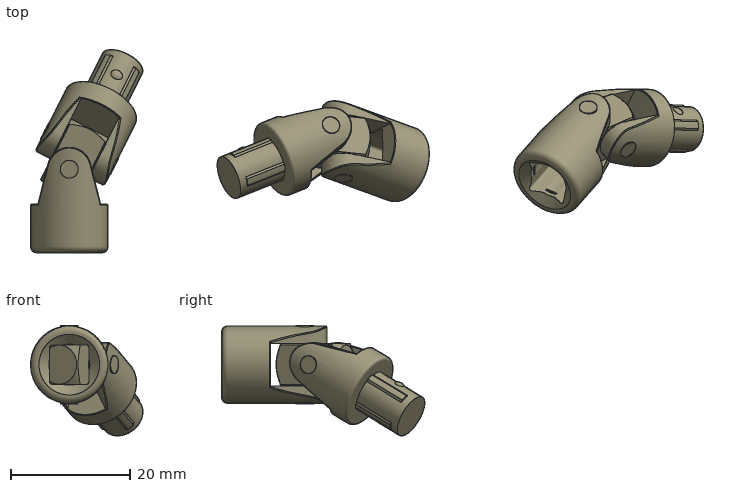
import cadquery as cq
import math


JOINT_YAW = 26.65
JOINT_PITCH = 28.4

FORK_DIAMETER = 12.95
ARM_TIP_RADIUS = 3.68
ARM_TAPER = 14
SLOT_WIDTH = 7.08
SLOT_DEPTH = 5.82
EDGE_CHAMFER = 0.15
PIN_DIAMETER = 3.0

BLOCK_WIDTH = 7.0
BLOCK_EDGE_CHAMFER = 0.2
BLOCK_END_DIAMETER = 6.57
BLOCK_END_SLOPE = 30
PIN_SPACING = 3.85
BLOCK_OVERHANG = 3.8
PIN_LENGTH = 13.15

SOCKET_LENGTH = 14.0
SOCKET_MOUTH_ROUND = 1.02
SQUARE_HOLE = 6.57
SQUARE_HOLE_ROUND = 0.45
MOUTH_CONE_DIAMETER = 10.15
MOUTH_CONE_DEPTH = 1.23
RELIEF_DIAMETER = 6.87
LAND_START = 1.95
LAND_END = 2.2

DRIVER_LENGTH = 9.5
DRIVER_BACK_ROUND = 0.5
DRIVE_TIP = 18.17
DRIVE_DIAMETER = 7.5
DRIVE_SQUARE = 6.4
DRIVE_CORNER_DIAMETER = 7.95
DRIVE_SQUARE_SETBACK = 1.33
BALL_DIAMETER = 2.93
BALL_SETBACK = 4.42
BALL_HEIGHT = 2.55


def y_cylinder(diameter, start, end):
    """A cylinder on the Y axis between two Y positions, with its seam on the +Z side."""
    end_plane = cq.Plane(origin=(0, end, 0), xDir=(0, 0, 1), normal=(0, -1, 0))
    return cq.Workplane(end_plane).circle(diameter / 2).extrude(end - start)


def arm_outline():
    """The prism along Z that shapes the fork arms: round tip, tapered sides, full-width base."""
    taper = math.radians(ARM_TAPER)
    tangent_x = ARM_TIP_RADIUS * math.cos(taper)
    tangent_y = ARM_TIP_RADIUS * math.sin(taper)
    root_x = tangent_x + (tangent_y + SLOT_DEPTH) * math.tan(taper)
    base_y = -2 * SOCKET_LENGTH
    return (
        cq.Workplane("XY")
        .moveTo(tangent_x, tangent_y)
        .threePointArc((0, ARM_TIP_RADIUS), (-tangent_x, tangent_y))
        .lineTo(-root_x, -SLOT_DEPTH)
        .lineTo(-FORK_DIAMETER, -SLOT_DEPTH)
        .lineTo(-FORK_DIAMETER, base_y)
        .lineTo(FORK_DIAMETER, base_y)
        .lineTo(FORK_DIAMETER, -SLOT_DEPTH)
        .lineTo(root_x, -SLOT_DEPTH)
        .close()
        .extrude(FORK_DIAMETER, both=True)
    )


def zone_across(start_y, end_y):
    """Selects what is centred between two Y positions, at any X and Z within the fork."""
    return cq.selectors.BoxSelector(
        (-FORK_DIAMETER, start_y, -FORK_DIAMETER),
        (FORK_DIAMETER, end_y, FORK_DIAMETER),
    )


def make_fork(length, back_round):
    """A fork with its pin hole along Z at the origin, its arms toward +Y and its back at -length."""
    fork = y_cylinder(FORK_DIAMETER, -length, ARM_TIP_RADIUS)
    fork = fork.faces("<Y").edges().fillet(back_round)
    fork = fork.intersect(arm_outline())

    shoulder_edges = zone_across(-SLOT_DEPTH - EDGE_CHAMFER, -SLOT_DEPTH + EDGE_CHAMFER)
    arm_edges = zone_across(-SLOT_DEPTH + EDGE_CHAMFER, ARM_TIP_RADIUS)
    for zone in (shoulder_edges, arm_edges):
        fork = fork.edges(zone).edges("not |Z").chamfer(EDGE_CHAMFER)

    slot_length = SLOT_DEPTH + 2 * ARM_TIP_RADIUS
    slot = (
        cq.Workplane("XY")
        .box(2 * FORK_DIAMETER, slot_length, SLOT_WIDTH, centered=(True, False, True))
        .translate((0, -SLOT_DEPTH, 0))
    )
    pin_hole = cq.Workplane("XY").circle(PIN_DIAMETER / 2).extrude(FORK_DIAMETER, both=True)
    return fork.cut(slot).cut(pin_hole)


def make_socket_fork():
    """The fork with a square hole from its conical mouth through to the slot."""
    mouth_y = -SOCKET_LENGTH
    fork = make_fork(SOCKET_LENGTH, SOCKET_MOUTH_ROUND)
    square_hole = (
        cq.Workplane("XZ", origin=(0, -SLOT_DEPTH, 0))
        .rect(SQUARE_HOLE, SQUARE_HOLE)
        .extrude(SOCKET_LENGTH - SLOT_DEPTH)
        .edges("|Y")
        .fillet(SQUARE_HOLE_ROUND)
    )
    mouth = (
        cq.Workplane("XY")
        .moveTo(0, mouth_y)
        .lineTo(MOUTH_CONE_DIAMETER / 2, mouth_y)
        .lineTo(RELIEF_DIAMETER / 2, mouth_y + MOUTH_CONE_DEPTH)
        .lineTo(RELIEF_DIAMETER / 2, mouth_y + LAND_START)
        .lineTo(0, mouth_y + LAND_START)
        .close()
        .revolve(360, (0, 0, 0), (0, 1, 0))
    )
    inner_relief = y_cylinder(RELIEF_DIAMETER, mouth_y + LAND_END, -SLOT_DEPTH)
    return fork.cut(square_hole).cut(mouth).cut(inner_relief)


def make_driver_fork():
    """The fork with a stub drive and detent ball, in the same place as make_fork puts it."""
    fork = make_fork(DRIVER_LENGTH, DRIVER_BACK_ROUND)
    root_y = -(SLOT_DEPTH + DRIVER_LENGTH) / 2
    square_end = -DRIVE_TIP + DRIVE_SQUARE_SETBACK
    core = y_cylinder(DRIVE_DIAMETER, -DRIVE_TIP, root_y)
    corners = (
        cq.Workplane("XZ", origin=(0, root_y, 0))
        .rect(DRIVE_SQUARE, DRIVE_SQUARE)
        .extrude(root_y - square_end)
        .intersect(y_cylinder(DRIVE_CORNER_DIAMETER, square_end, root_y))
    )
    ball = (
        cq.Workplane("XY")
        .sphere(BALL_DIAMETER / 2)
        .translate((BALL_HEIGHT, -DRIVE_TIP + BALL_SETBACK, 0))
    )
    return fork.union(core).union(corners).union(ball)


def make_cross():
    """The cross block along Y with the socket pin along Z and the driver pin along X."""
    start_y = -BLOCK_OVERHANG
    end_y = PIN_SPACING + BLOCK_OVERHANG
    block = (
        cq.Workplane("XZ", origin=(0, end_y, 0))
        .rect(BLOCK_WIDTH, BLOCK_WIDTH)
        .extrude(end_y - start_y)
        .edges("|Y")
        .chamfer(BLOCK_EDGE_CHAMFER)
    )
    disc_radius = BLOCK_END_DIAMETER / 2
    turned_radius = BLOCK_WIDTH
    cone_length = (turned_radius - disc_radius) * math.tan(math.radians(BLOCK_END_SLOPE))
    turned_ends = (
        cq.Workplane("XY")
        .moveTo(0, start_y)
        .lineTo(disc_radius, start_y)
        .lineTo(turned_radius, start_y + cone_length)
        .lineTo(turned_radius, end_y - cone_length)
        .lineTo(disc_radius, end_y)
        .lineTo(0, end_y)
        .close()
        .revolve(360, (0, 0, 0), (0, 1, 0))
    )
    socket_pin = cq.Workplane("XY").circle(PIN_DIAMETER / 2).extrude(PIN_LENGTH / 2, both=True)
    driver_pin = (
        cq.Workplane("YZ", origin=(0, PIN_SPACING, 0))
        .circle(PIN_DIAMETER / 2)
        .extrude(PIN_LENGTH / 2, both=True)
    )
    return block.intersect(turned_ends).union(socket_pin).union(driver_pin)


def swing_with_cross(body):
    """Turn a body about the socket pin by the joint's yaw."""
    return body.rotate((0, 0, 0), (0, 0, 1), -JOINT_YAW)


def place_driver(body):
    """Turn the driver fork end for end onto the driver pin, then pitch and yaw it."""
    body = body.rotate((0, 0, 0), (0, 0, 1), 180)
    body = body.rotate((0, 0, 0), (0, 1, 0), 90)
    body = body.rotate((0, 0, 0), (1, 0, 0), -JOINT_PITCH)
    return swing_with_cross(body.translate((0, PIN_SPACING, 0)))


socket_fork = make_socket_fork()
cross = swing_with_cross(make_cross())
driver_fork = place_driver(make_driver_fork())

result = cq.Compound.makeCompound([socket_fork.val(), cross.val(), driver_fork.val()])